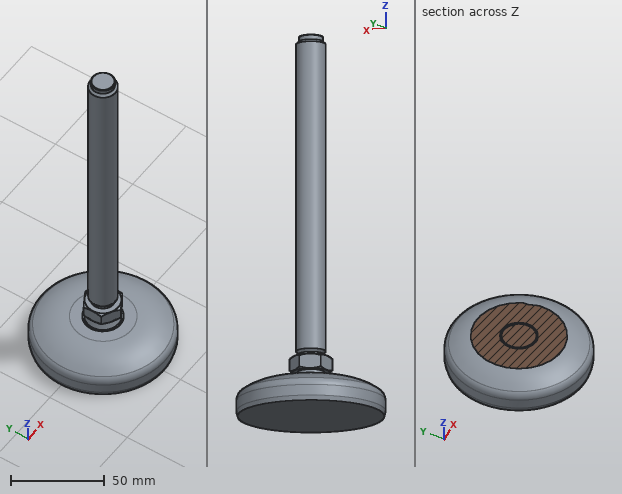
import cadquery as cq
import math

TOTAL_HEIGHT = 207.2

FOOT_RADIUS = 79.66 / 2
FOOT_BOTTOM_RADIUS = 78.2 / 2
FOOT_FLARE_HEIGHT = 2.7
FOOT_BAND_TOP = 8.5
FOOT_HEIGHT = 19.0
DOME_INNER_RADIUS = 18.0
SHOULDER_ARC_RADIUS = 5.2
SOCKET_RADIUS = 10.0
SOCKET_DEPTH = 2.0
SOCKET_STEP_RADIUS = 11.1
SOCKET_STEP_DEPTH = 0.1

CONE_BASE_RADIUS = 9.95
COLLAR_RADIUS = 14.3 / 2
COLLAR_BOTTOM = 22.3

HEX_ACROSS_FLATS = 19.9
HEX_BOTTOM = 24.1
HEX_HEIGHT = 8.0
HEX_CHAMFER_RADIUS = 19.6 / 2
HEX_CHAMFER_ANGLE = 30.0

ROD_RADIUS = 16.0 / 2
ROD_CORE_RADIUS = 13.0 / 2
ROD_BOTTOM = 33.9
ROD_TIP_HEIGHT = 2.7
ROD_TIP_CHAMFER = 0.4
ROD_CHAMFER = ROD_RADIUS - ROD_CORE_RADIUS

SOCKET_FLOOR = FOOT_HEIGHT - SOCKET_DEPTH
HEX_TOP = HEX_BOTTOM + HEX_HEIGHT


def revolve_outline(outline):
    """Close and revolve an outline of (radius, height) about the Z axis."""
    return outline.close().revolve(360, (0, 0, 0), (0, 1, 0))


def point_on_arc(centre, radius, tilt):
    """Point of an arc whose outward normal leans away from +Z by tilt radians."""
    return (centre[0] + radius * math.sin(tilt), centre[1] + radius * math.cos(tilt))


def make_foot():
    """Round foot with flared bottom edge, rounded shoulder, domed top and shallow stepped socket."""
    shoulder_centre = (FOOT_RADIUS - SHOULDER_ARC_RADIUS, FOOT_BAND_TOP)
    run = shoulder_centre[0] - DOME_INNER_RADIUS
    rise = FOOT_HEIGHT - FOOT_BAND_TOP
    dome_radius = (run**2 + rise**2 - SHOULDER_ARC_RADIUS**2) / (2 * (rise - SHOULDER_ARC_RADIUS))
    dome_centre = (DOME_INNER_RADIUS, FOOT_HEIGHT - dome_radius)
    meeting_tilt = math.atan2(
        shoulder_centre[0] - dome_centre[0],
        shoulder_centre[1] - dome_centre[1],
    )
    shoulder_mid_tilt = (meeting_tilt + math.pi / 2) / 2
    outline = (
        cq.Workplane("XZ")
        .moveTo(0, 0)
        .lineTo(FOOT_BOTTOM_RADIUS, 0)
        .lineTo(FOOT_RADIUS, FOOT_FLARE_HEIGHT)
        .lineTo(FOOT_RADIUS, FOOT_BAND_TOP)
        .threePointArc(
            point_on_arc(shoulder_centre, SHOULDER_ARC_RADIUS, shoulder_mid_tilt),
            point_on_arc(shoulder_centre, SHOULDER_ARC_RADIUS, meeting_tilt),
        )
        .threePointArc(
            point_on_arc(dome_centre, dome_radius, meeting_tilt / 2),
            (DOME_INNER_RADIUS, FOOT_HEIGHT),
        )
        .lineTo(SOCKET_STEP_RADIUS, FOOT_HEIGHT)
        .lineTo(SOCKET_STEP_RADIUS, FOOT_HEIGHT - SOCKET_STEP_DEPTH)
        .lineTo(SOCKET_RADIUS, FOOT_HEIGHT - SOCKET_STEP_DEPTH)
        .lineTo(SOCKET_RADIUS, SOCKET_FLOOR)
        .lineTo(0, SOCKET_FLOOR)
    )
    return revolve_outline(outline)


def make_spindle():
    """Turned spindle: cone in the socket, collar, neck through the hexagon and chamfered rod."""
    rod_top = TOTAL_HEIGHT - ROD_TIP_HEIGHT
    outline = (
        cq.Workplane("XZ")
        .moveTo(0, SOCKET_FLOOR)
        .lineTo(CONE_BASE_RADIUS, SOCKET_FLOOR)
        .lineTo(COLLAR_RADIUS, COLLAR_BOTTOM)
        .lineTo(COLLAR_RADIUS, HEX_BOTTOM)
        .lineTo(ROD_CORE_RADIUS, HEX_BOTTOM)
        .lineTo(ROD_CORE_RADIUS, ROD_BOTTOM)
        .lineTo(ROD_RADIUS, ROD_BOTTOM + ROD_CHAMFER)
        .lineTo(ROD_RADIUS, rod_top - ROD_CHAMFER)
        .lineTo(ROD_CORE_RADIUS, rod_top)
        .lineTo(ROD_CORE_RADIUS, TOTAL_HEIGHT - ROD_TIP_CHAMFER)
        .lineTo(ROD_CORE_RADIUS - ROD_TIP_CHAMFER, TOTAL_HEIGHT)
        .lineTo(0, TOTAL_HEIGHT)
    )
    return revolve_outline(outline)


def make_hexagon():
    """Hexagon with flats facing +X and -X, its corners turned off at both ends."""
    corner_radius = HEX_ACROSS_FLATS / 2 / math.cos(math.pi / 6)
    chamfer_drop = (corner_radius - HEX_CHAMFER_RADIUS) * math.tan(math.radians(HEX_CHAMFER_ANGLE))
    prism = (
        cq.Workplane("XY")
        .workplane(offset=HEX_BOTTOM)
        .polygon(6, 2 * corner_radius)
        .extrude(HEX_HEIGHT)
        .rotate((0, 0, 0), (0, 0, 1), 90)
    )
    turned_blank = revolve_outline(
        cq.Workplane("XZ")
        .moveTo(0, HEX_BOTTOM)
        .lineTo(HEX_CHAMFER_RADIUS, HEX_BOTTOM)
        .lineTo(corner_radius, HEX_BOTTOM + chamfer_drop)
        .lineTo(corner_radius, HEX_TOP - chamfer_drop)
        .lineTo(HEX_CHAMFER_RADIUS, HEX_TOP)
        .lineTo(0, HEX_TOP)
    )
    return prism.intersect(turned_blank)


result = make_foot().union(make_spindle()).union(make_hexagon())